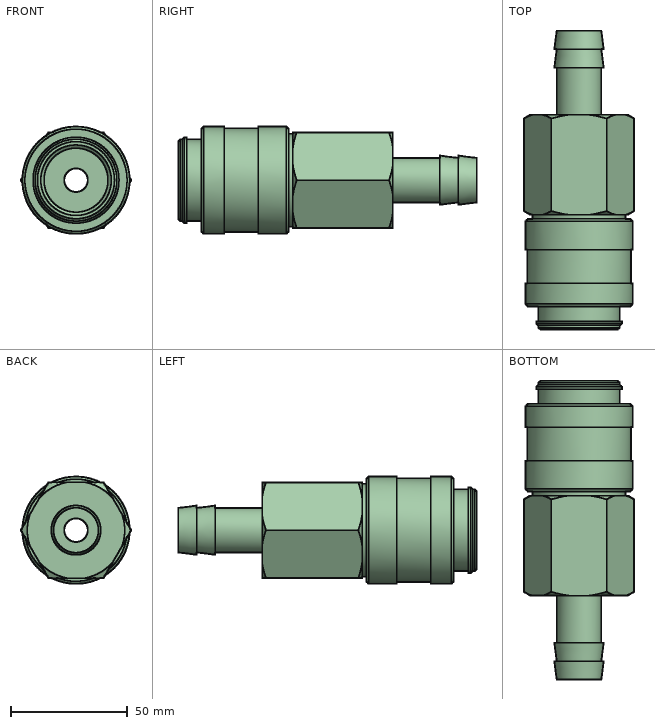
import cadquery as cq
import math

total_length = 128.0
sleeve_start = 9.9
front_band_end = 19.8
rear_band_start = 34.3
sleeve_end = 47.5
hex_start = 49.2
hex_end = 92.0

nose_radius = 17.5
nose_end_radius = 16.5
nose_chamfer_length = 0.9
ring_radius = 18.4
ring_taper_start = 1.8
ring_land_start = 2.7
ring_end = 3.7

band_radius = 23.0
grip_radius = 22.3
band_chamfer = 1.2
neck_radius = 20.0
hex_across_flats = 41.0
hex_across_corners = hex_across_flats / math.cos(math.pi / 6)
hex_corner_radius = hex_across_corners / 2
hex_face_radius = 20.9
hex_chamfer_length = 1.7

tail_radius = 9.6
barb_radius = 10.6
barb_length = 8.0
barb_count = 2

through_radius = 5.0
socket_radius = 13.7
socket_depth = sleeve_end
socket_mouth_radius = 15.1
socket_chamfer = socket_mouth_radius - socket_radius


def revolve_profile(points):
    """Revolve (radius, y) points about the Y axis."""
    return cq.Workplane("XY").polyline(points).close().revolve(360, (0, 0, 0), (0, 1, 0))


def make_coupling_body():
    """Nose, ring, gripping sleeve and neck, ending at the hexagon."""
    return revolve_profile([
        (0, 0),
        (nose_end_radius, 0),
        (nose_radius, nose_chamfer_length),
        (nose_radius, ring_taper_start),
        (ring_radius, ring_land_start),
        (ring_radius, ring_end),
        (nose_radius, ring_end),
        (nose_radius, sleeve_start),
        (band_radius - band_chamfer, sleeve_start),
        (band_radius, sleeve_start + band_chamfer),
        (band_radius, front_band_end),
        (grip_radius, front_band_end),
        (grip_radius, rear_band_start),
        (band_radius, rear_band_start),
        (band_radius, sleeve_end - band_chamfer),
        (band_radius - band_chamfer, sleeve_end),
        (neck_radius, sleeve_end),
        (neck_radius, hex_start),
        (0, hex_start),
    ])


def make_hexagon():
    """Hexagon with corners on the X axis and both ends turned to a cone."""
    prism = (
        cq.Workplane("XZ", origin=(0, hex_start, 0))
        .polygon(6, hex_across_corners)
        .extrude(hex_start - hex_end)
    )
    cone_overrun = 1.3
    cone_slope = (hex_corner_radius - hex_face_radius) / hex_chamfer_length
    envelope_radius = hex_corner_radius + cone_overrun * cone_slope
    cone_length = hex_chamfer_length + cone_overrun
    envelope = revolve_profile([
        (0, hex_start),
        (hex_face_radius, hex_start),
        (envelope_radius, hex_start + cone_length),
        (envelope_radius, hex_end - cone_length),
        (hex_face_radius, hex_end),
        (0, hex_end),
    ])
    return prism.intersect(envelope)


def make_hose_tail():
    """Straight tail whose barbs taper towards the free end."""
    barbs_start = total_length - barb_count * barb_length
    points = [(0, hex_end), (tail_radius, hex_end), (tail_radius, barbs_start)]
    for index in range(barb_count):
        barb_start = barbs_start + index * barb_length
        points.append((barb_radius, barb_start))
        points.append((tail_radius, barb_start + barb_length))
    points.append((0, total_length))
    return revolve_profile(points)


def make_bores():
    """Flat-bottomed socket with a chamfered mouth and a bore through the tail."""
    return revolve_profile([
        (0, 0),
        (socket_mouth_radius, 0),
        (socket_radius, socket_chamfer),
        (socket_radius, socket_depth),
        (through_radius, socket_depth),
        (through_radius, total_length),
        (0, total_length),
    ])


coupling = make_coupling_body().union(make_hexagon()).union(make_hose_tail()).cut(make_bores())

result = coupling.translate((0, -total_length / 2, 0))